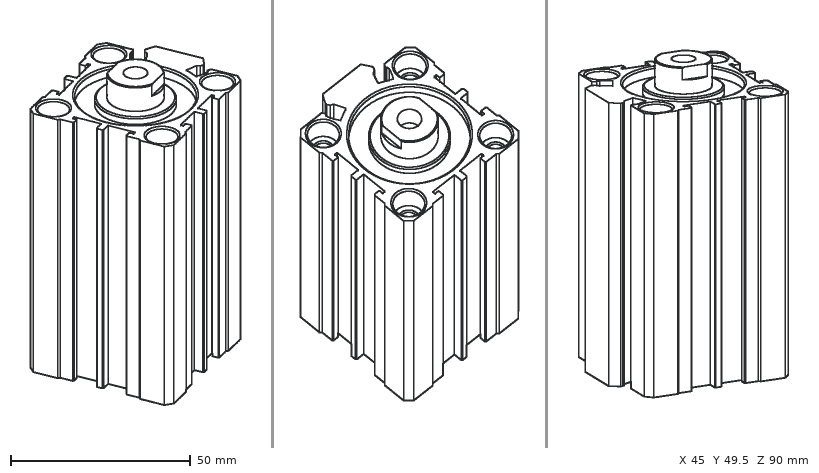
import cadquery as cq

total_height = 90.0
body_width = 45.0
half_width = body_width / 2
body_height = 83.0
rail_top_y = 27.0

corner_chamfer = 2.0
pad_inner_end = 13.0
recess_depth = 0.5
recessed_face = half_width - recess_depth
slot_half_opening = 8.2
slot_half_undercut = 9.5
slot_floor = 19.0
slot_lip_inner = 19.9
slot_edge_chamfer = 0.3
rib_width = 2.2

slotted_side_angles = (90, 180, 270)

rail_root_x = 6.3
rail_root_y = 18.9
rail_top_half_width = 7.5
rail_head_half_width = 9.2
groove_floor_corner = (10.35, 16.9)
groove_wall_middle = (11.3, 18.6)
groove_wall_x = 12.0
groove_wall_bottom_y = 20.2
groove_wall_top_y = 21.15
groove_nib_tip = (11.6, 21.3)
groove_mouth_x = 12.2

hole_offset = 17.0
through_diameter = 4.95
counterbore_diameter = 8.9
counterbore_depth = 7.2
counterbore_chamfer = 0.5
through_chamfer = 0.45

recess_diameter = 34.0
recess_floor_depth = 3.1
recess_chamfer = 0.5
collar_diameter = 22.9
collar_height = 2.25
collar_chamfer = 0.45
recess_floor = body_height - recess_floor_depth
collar_top = recess_floor + collar_height

rod_diameter = 16.0
rod_chamfer = 0.3
flat_distance = 14.0
flat_height = 3.7
rod_hole_diameter = 6.75
rod_hole_depth = 6.3


def t_slot_half():
    """Half of a T-slot in the +Y side, lying at +X beside the central rib, with broken outer edges."""
    rib_side = rib_width / 2
    chamfer_start = recessed_face - slot_edge_chamfer
    return (
        cq.Workplane("XY")
        .polyline(
            [
                (rib_side, slot_floor),
                (slot_half_undercut, slot_floor),
                (slot_half_undercut, slot_lip_inner),
                (slot_half_opening, slot_lip_inner),
                (slot_half_opening, chamfer_start),
                (slot_half_opening + slot_edge_chamfer, recessed_face),
                (rib_side - slot_edge_chamfer, recessed_face),
                (rib_side, chamfer_start),
            ]
        )
        .close()
        .extrude(body_height)
    )


def t_slot(angle):
    """T-slot with a central rib, cut in the +Y side and turned to the given angle."""
    half = t_slot_half()
    return half.union(half.mirror("YZ")).rotate((0, 0, 0), (0, 0, 1), angle)


def side_recess(angle):
    """Shallow recess with 45 degree ends between the pads of the +Y side, turned to the given angle."""
    floor_end = pad_inner_end - recess_depth
    return (
        cq.Workplane("XY")
        .polyline(
            [
                (-pad_inner_end, half_width),
                (-floor_end, recessed_face),
                (floor_end, recessed_face),
                (pad_inner_end, half_width),
            ]
        )
        .close()
        .extrude(body_height)
        .rotate((0, 0, 0), (0, 0, 1), angle)
    )


def rail():
    """Sensor rail on the +Y side, with slanted flanks and an overhanging head."""
    head_side = [
        (rail_top_half_width, rail_top_y),
        (rail_head_half_width, 24.2),
        (rail_head_half_width, 23.6),
        (8.7, 22.8),
        (7.7, 22.3),
        (rail_root_x, rail_root_y),
    ]
    mirrored_side = [(-x, y) for x, y in reversed(head_side)]
    return cq.Workplane("XY").polyline(head_side + mirrored_side).close().extrude(body_height)


def rail_groove():
    """Groove on the +X side of the rail, open to the +Y side of the housing."""
    return (
        cq.Workplane("XY")
        .moveTo(rail_root_x, rail_root_y)
        .lineTo(*groove_floor_corner)
        .threePointArc(groove_wall_middle, (groove_wall_x, groove_wall_bottom_y))
        .lineTo(groove_wall_x, groove_wall_top_y)
        .lineTo(*groove_nib_tip)
        .lineTo(groove_mouth_x, half_width)
        .lineTo(rail_root_x, half_width)
        .close()
        .extrude(body_height)
    )


def corner_hole_cutter():
    """Through hole with a counterbore from the top; both edges chamfered. Built on the Z axis."""
    through_radius = through_diameter / 2
    bore_radius = counterbore_diameter / 2
    bore_floor = body_height - counterbore_depth
    return (
        cq.Workplane("XZ")
        .polyline(
            [
                (0, 0),
                (through_radius, 0),
                (through_radius, bore_floor - through_chamfer),
                (through_radius + through_chamfer, bore_floor),
                (bore_radius, bore_floor),
                (bore_radius, body_height - counterbore_chamfer),
                (bore_radius + counterbore_chamfer, body_height),
                (0, body_height),
            ]
        )
        .close()
        .revolve(360, (0, 0, 0), (0, 1, 0))
    )


def build_housing():
    housing = (
        cq.Workplane("XY")
        .rect(body_width, body_width)
        .extrude(body_height)
        .edges("|Z")
        .chamfer(corner_chamfer)
    )
    for angle in slotted_side_angles:
        housing = housing.cut(side_recess(angle)).cut(t_slot(angle))

    groove = rail_groove()
    housing = housing.cut(groove).cut(groove.mirror("YZ")).union(rail())

    hole = corner_hole_cutter()
    for x in (-hole_offset, hole_offset):
        for y in (-hole_offset, hole_offset):
            housing = housing.cut(hole.translate((x, y, 0)))

    top_recess = (
        cq.Workplane("XY", origin=(0, 0, recess_floor))
        .circle(recess_diameter / 2)
        .extrude(recess_floor_depth)
    )
    rim_cone = (
        cq.Workplane("XY", origin=(0, 0, body_height))
        .circle(recess_diameter / 2 + recess_chamfer)
        .extrude(-recess_chamfer, taper=45)
    )
    housing = housing.cut(top_recess).cut(rim_cone)
    collar = (
        cq.Workplane("XY", origin=(0, 0, recess_floor))
        .circle(collar_diameter / 2)
        .extrude(collar_height)
        .faces(">Z")
        .chamfer(collar_chamfer)
    )
    return housing.union(collar)


def build_rod():
    rod = (
        cq.Workplane("XY", origin=(0, 0, collar_top))
        .circle(rod_diameter / 2)
        .extrude(total_height - collar_top)
        .faces(">Z")
        .chamfer(rod_chamfer)
    )
    outside_flats = (
        cq.Workplane("XY", origin=(0, 0, total_height - flat_height))
        .rect(2 * rod_diameter, 2 * rod_diameter)
        .rect(flat_distance, 2 * rod_diameter)
        .extrude(flat_height)
    )
    end_hole = (
        cq.Workplane("XY", origin=(0, 0, total_height))
        .circle(rod_hole_diameter / 2)
        .extrude(-rod_hole_depth)
    )
    return rod.cut(outside_flats).cut(end_hole)


housing = build_housing()
rod = build_rod()
result = cq.Compound.makeCompound([housing.val(), rod.val()])